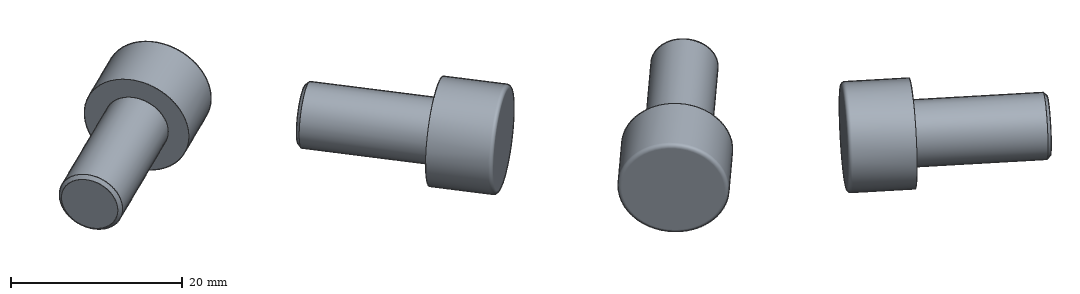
import cadquery as cq

total_length = 24.0
head_diameter = 13.0
head_length = 8.0
head_edge_radius = 0.48
shank_diameter = 7.87
tip_chamfer = 0.43

shank_length = total_length - head_length


def make_shank():
    """Plain cylinder from Y = 0, chamfered at the free tip."""
    shank = cq.Workplane("XZ").circle(shank_diameter / 2).extrude(-shank_length)
    return shank.faces("<Y").edges().chamfer(tip_chamfer)


def make_head():
    """Cylindrical head with a rounded outer end edge."""
    seat = cq.Workplane("XZ", origin=(0, shank_length, 0))
    head = seat.circle(head_diameter / 2).extrude(-head_length)
    return head.faces(">Y").edges().fillet(head_edge_radius)


result = make_shank().union(make_head())